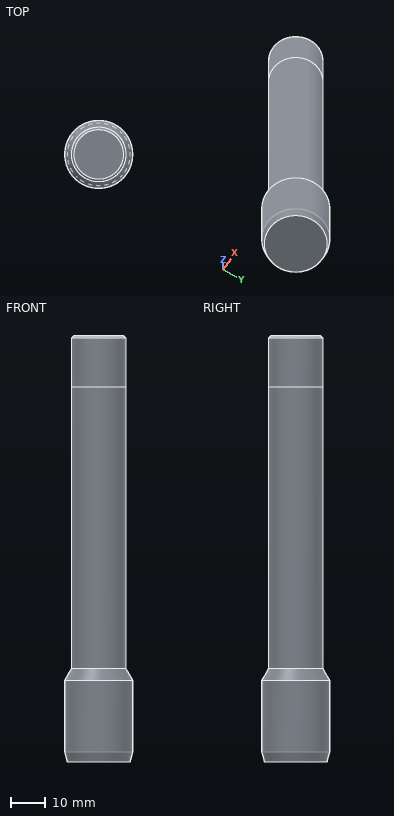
import cadquery as cq
import math

total_length = 125.0
shaft_radius = 8.0
head_radius = 10.0

lead_in_height = 3.0
lead_in_angle = 15.0
head_straight_top = 24.0
shoulder_angle = 30.0

cap_length = 15.0
cap_chamfer = 0.8

lead_in_radius = head_radius - lead_in_height * math.tan(math.radians(lead_in_angle))
shoulder_height = (head_radius - shaft_radius) / math.tan(math.radians(shoulder_angle))
shoulder_top = head_straight_top + shoulder_height
cap_base = total_length - cap_length


def make_pin():
    """Shaft with its wider head, revolved about Z from a half profile."""
    return (
        cq.Workplane("XZ")
        .moveTo(0, 0)
        .lineTo(lead_in_radius, 0)
        .lineTo(head_radius, lead_in_height)
        .lineTo(head_radius, head_straight_top)
        .lineTo(shaft_radius, shoulder_top)
        .lineTo(shaft_radius, cap_base)
        .lineTo(0, cap_base)
        .close()
        .revolve(360, (0, 0, 0), (0, 1, 0))
    )


def make_cap():
    """Cylindrical end cap with a chamfered top rim."""
    return (
        cq.Workplane("XY", origin=(0, 0, cap_base))
        .circle(shaft_radius)
        .extrude(cap_length)
        .faces(">Z")
        .chamfer(cap_chamfer)
    )


pin = make_pin()
cap = make_cap()

result = cq.Compound.makeCompound([pin.val(), cap.val()])